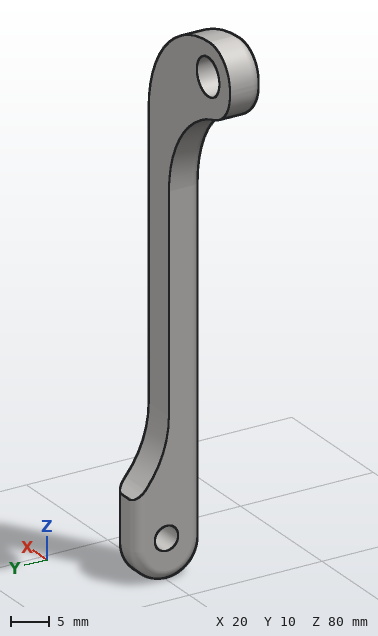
import cadquery as cq
import math

length = 80.0
width = 20.0
bar = 5.0
edge_radius = 1.5
pivot_diameter = 5.5
pivot_x = 5.4
pin_diameter = 3.5
pin_y = 5.4
pin_z = 6.2
pad_top_z = 12.2

foot_depth = 2 * bar
bend_radius = width - bar
inner_x = width - bar
outer_bend_z = length - bend_radius
head_z = length - bar
inner_bend_z = outer_bend_z - foot_depth

centre_distance = bend_radius + bar
nose_rise = math.sqrt(centre_distance**2 - bar**2)
nose_z = inner_bend_z + nose_rise
bend_angle = math.atan2(nose_rise, bar)


def polar(x, y, radius, angle):
    """Point at an angle on a circle centred on (x, y)."""
    return (x + radius * math.cos(angle), y + radius * math.sin(angle))


def hooked_blank():
    """Hook-shaped outline in XZ, extruded to the full depth of the foot."""
    outline = (
        cq.Workplane("XZ")
        .moveTo(inner_x, 0)
        .lineTo(width, 0)
        .lineTo(width, outer_bend_z)
        .threePointArc(polar(bar, outer_bend_z, bend_radius, math.pi / 4), (bar, length))
        .threePointArc(polar(bar, head_z, bar, 3 * math.pi / 4), (0, head_z))
        .lineTo(0, nose_z)
        .threePointArc(
            polar(bar, nose_z, bar, math.pi + bend_angle / 2),
            polar(0, inner_bend_z, bend_radius, bend_angle),
        )
        .threePointArc(
            polar(0, inner_bend_z, bend_radius, bend_angle / 2), (inner_x, inner_bend_z)
        )
        .close()
    )
    return outline.extrude(-foot_depth)


def round_foot_envelope():
    """Full-depth slab across X with a semicircular lower end."""
    return (
        cq.Workplane("YZ")
        .moveTo(0, length)
        .lineTo(0, bar)
        .threePointArc((bar, 0), (foot_depth, bar))
        .lineTo(foot_depth, length)
        .close()
        .extrude(width)
    )


def back_relief():
    """Space behind the thin plate, sweeping out in an arc to the foot pad."""
    centre_y = bar + bend_radius
    end_angle = math.acos((centre_y - foot_depth) / bend_radius)
    centre_z = pad_top_z + bend_radius * math.sin(end_angle)
    return (
        cq.Workplane("YZ")
        .moveTo(bar, length)
        .lineTo(bar, centre_z)
        .threePointArc(
            polar(centre_y, centre_z, bend_radius, math.pi + end_angle / 2),
            (foot_depth, pad_top_z),
        )
        .lineTo(foot_depth, length)
        .close()
        .extrude(width)
    )


pivot_hole = (
    cq.Workplane("XZ").center(pivot_x, head_z).circle(pivot_diameter / 2).extrude(-foot_depth)
)
pin_hole = cq.Workplane("YZ").center(pin_y, pin_z).circle(pin_diameter / 2).extrude(width)

lever = hooked_blank().intersect(round_foot_envelope())
lever = lever.faces("<Y or >Y").edges("not |X").fillet(edge_radius)
result = lever.cut(back_relief()).cut(pivot_hole).cut(pin_hole)